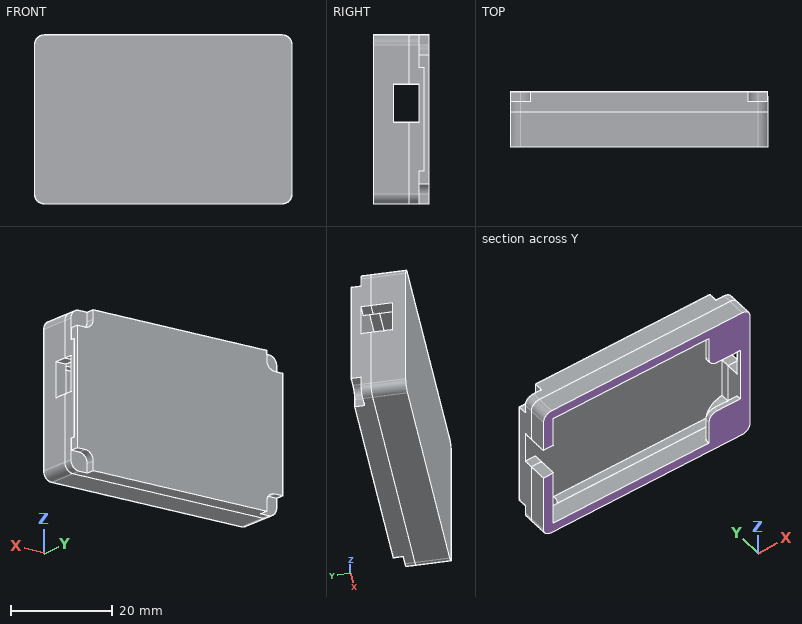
import cadquery as cq

length = 51.0
height = 33.5
depth = 11.0
split_y = 7.0
plate = 2.0
side_wall = 2.5
corner_radius = 2.0

notch_size = 4.0
notch_radius = 2.0
notch_depth = 2.0

window_width = 7.5
window_center_z = 3.2
window_front_y = 2.7
cavity_back_y = depth - plate

step_depth = 0.1
land_width = 1.0
land_back_y = cavity_back_y + land_width

ledge_y = 4.0
post_gap = 13.1
post_radius = 2.0

half_length = length / 2
half_height = height / 2
cavity_length = length - 2 * side_wall
cavity_height = height - 2 * side_wall
backing_size = notch_size + side_wall
backing_radius = notch_radius + side_wall
post_size = (cavity_height - post_gap) / 2


def box_between(x_range, y_range, z_range):
    """Box spanning the given (low, high) ranges."""
    spans = (x_range, y_range, z_range)
    sizes = [high - low for low, high in spans]
    origin = [low for low, high in spans]
    return cq.Workplane("XY").box(*sizes, centered=False).translate(tuple(origin))


def shell_block(y_low, y_high):
    """Full outline with rounded corners."""
    block = box_between((-half_length, half_length), (y_low, y_high), (-half_height, half_height))
    return block.edges("|Y").fillet(corner_radius)


def corner_block(size, radius, y_low, y_high, corner_x, corner_z, sign_x, sign_z):
    """Square block reaching inward from a corner, with its innermost edge rounded."""
    inner_x = corner_x - sign_x * size
    inner_z = corner_z - sign_z * size
    block = box_between(sorted((inner_x, corner_x)), (y_low, y_high), sorted((inner_z, corner_z)))
    inner_side_x = "<X" if sign_x > 0 else ">X"
    inner_side_z = "<Z" if sign_z > 0 else ">Z"
    inner_edge = f"|Y and {inner_side_x} and {inner_side_z}"
    return block.edges(inner_edge).fillet(radius)


cavity = box_between(
    (-cavity_length / 2, cavity_length / 2),
    (plate, cavity_back_y),
    (-cavity_height / 2, cavity_height / 2),
)
window_z = (window_center_z - window_width / 2, window_center_z + window_width / 2)
window = box_between((-half_length, -cavity_length / 2), (window_front_y, cavity_back_y), window_z)
board_exit = box_between((cavity_length / 2, half_length), (ledge_y, cavity_back_y), window_z)
hollow = cavity.union(window).union(board_exit)

tray = shell_block(0, split_y).cut(hollow)
for side_z in (-1, 1):
    post = corner_block(
        post_size, post_radius, plate, ledge_y,
        cavity_length / 2, side_z * cavity_height / 2, 1, side_z,
    )
    tray = tray.union(post)

cover = shell_block(split_y, depth).cut(hollow)
for side_x in (-1, 1):
    for side_z in (-1, 1):
        corner = (side_x * half_length, side_z * half_height, side_x, side_z)
        backing = corner_block(backing_size, backing_radius, split_y, cavity_back_y, *corner)
        notch = corner_block(notch_size, notch_radius, depth - notch_depth, depth, *corner)
        backing = backing.intersect(shell_block(split_y, depth))
        cover = cover.union(backing).cut(notch)

step_x = (half_length - step_depth, half_length)
step = box_between(step_x, (cavity_back_y, depth), (-half_height, half_height))
land_z = (backing_size - half_height, half_height - backing_size)
land = box_between(step_x, (cavity_back_y, land_back_y), land_z)
cover = cover.cut(step.cut(land))

result = cq.Compound.makeCompound([tray.solids().val(), cover.solids().val()])